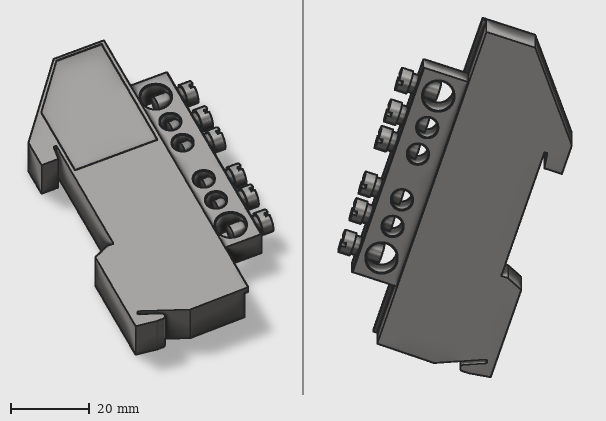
import cadquery as cq
import math

LENGTH = 87.0
THICKNESS = 12.0
TOP_Y = 31.15
TOP_LENGTH = 86.7
NOSE_Y = 17.05
NOSE_FOOT_X = 21.5
RAIL_Y = 6.0
RAIL_NEAR_X = 29.4
UNDERCUT_X = 25.4
UNDERCUT_INNER_Y = 5.2
UNDERCUT_OUTER_Y = 4.7
RAIL_FAR_X = 59.8
RAIL_FAR_CORNER_Y = 4.2
FAR_FOOT_X = 61.7
FAR_CORNER_Y = 14.8

LATCH_FOOT_X = 85.95
LATCH_SIDE_X = 86.7
LATCH_SIDE_Y = 5.6
LATCH_TOP_Y = 8.2
LATCH_TIP_RADIUS = 0.9
SLIT_END_X = 82.5
SLIT_END_Y = 2.7
SLIT_WIDTH = 1.05

LABEL_DEPTH = 0.3
LABEL_NEAR_X = 0.8
LABEL_FAR_X = 34.4
LABEL_LOW_Y = 7.05
LABEL_HIGH_Y = 30.1
LABEL_NEAR_Y = 17.5
LABEL_LOW_X = 14.1

BAR_LENGTH = 56.9
BAR_HEIGHT = 12.0
BAR_DEPTH = 8.0
BAR_NEAR_X = 14.5
BAR_CENTER_X = BAR_NEAR_X + BAR_LENGTH / 2
BAR_TOP_Y = 42.1
BAR_CHAMFER = 0.3
BAR_BOTTOM_Y = BAR_TOP_Y - BAR_HEIGHT
MID_Z = THICKNESS / 2
BAR_LOW_Z = MID_Z - BAR_DEPTH / 2
BAR_HIGH_Z = MID_Z + BAR_DEPTH / 2

LARGE_HOLE = 7.8
SMALL_HOLE = 5.2
HOLE_CHAMFER = 0.3
HOLE_Y = 36.1
HALF_ROW = [(6.35, SMALL_HOLE), (13.75, SMALL_HOLE), (22.5, LARGE_HOLE)]
WIRE_HOLES = [(BAR_CENTER_X + side * offset, diameter) for side in (-1, 1) for offset, diameter in HALF_ROW]

SCREW_TOP_Y = 46.7
HEAD_HEIGHT = 3.0
HEAD_DIAMETER = 6.0
SHANK_DIAMETER = 5.0
DRIVE_SLOT_WIDTH = 1.05
DRIVE_SLOT_DEPTH = 1.05


def cylinder_along_y(x, low_y, high_y, diameter):
    plane = cq.Plane(origin=(x, low_y, MID_Z), xDir=(1, 0, 0), normal=(0, 1, 0))
    return cq.Workplane(plane).circle(diameter / 2).extrude(high_y - low_y)


def housing_profile():
    slit_radius = SLIT_WIDTH / 2
    run_x = LENGTH - SLIT_END_X
    run_y = FAR_CORNER_Y - SLIT_END_Y
    lean = math.atan2(run_x, run_y) + math.asin(slit_radius / math.hypot(run_x, run_y))
    along_x, along_y = math.sin(lean), math.cos(lean)

    def slit_point(along, across):
        """Point measured from the slit end centre, up the slit and towards the latch."""
        return (
            SLIT_END_X + along * along_x + across * along_y,
            SLIT_END_Y + along * along_y - across * along_x,
        )

    tip_x = LATCH_SIDE_X - LATCH_TIP_RADIUS
    tip_y = LATCH_TOP_Y - LATCH_TIP_RADIUS
    tip_start = (tip_x - LATCH_TIP_RADIUS * along_y, tip_y + LATCH_TIP_RADIUS * along_x)
    tip_mid_angle = (math.pi - lean) / 2
    tip_middle = (
        tip_x + LATCH_TIP_RADIUS * math.cos(tip_mid_angle),
        tip_y + LATCH_TIP_RADIUS * math.sin(tip_mid_angle),
    )

    return (
        cq.Workplane("XY")
        .moveTo(0, NOSE_Y)
        .lineTo(0, TOP_Y)
        .lineTo(TOP_LENGTH, TOP_Y)
        .lineTo(LENGTH, FAR_CORNER_Y)
        .lineTo(*slit_point(0, -slit_radius))
        .threePointArc(slit_point(-slit_radius, 0), slit_point(0, slit_radius))
        .lineTo(*tip_start)
        .threePointArc(tip_middle, (LATCH_SIDE_X, tip_y))
        .lineTo(LATCH_SIDE_X, LATCH_SIDE_Y)
        .lineTo(LATCH_FOOT_X, 0)
        .lineTo(FAR_FOOT_X, 0)
        .lineTo(RAIL_FAR_X, RAIL_FAR_CORNER_Y)
        .lineTo(RAIL_FAR_X, RAIL_Y)
        .lineTo(UNDERCUT_X, RAIL_Y)
        .lineTo(UNDERCUT_X, UNDERCUT_INNER_Y)
        .lineTo(RAIL_NEAR_X, UNDERCUT_OUTER_Y)
        .lineTo(RAIL_NEAR_X, 0)
        .lineTo(NOSE_FOOT_X, 0)
        .close()
    )


def label_recess():
    return (
        cq.Workplane("XY", origin=(0, 0, THICKNESS - LABEL_DEPTH))
        .moveTo(LABEL_NEAR_X, LABEL_NEAR_Y)
        .lineTo(LABEL_NEAR_X, LABEL_HIGH_Y)
        .lineTo(LABEL_FAR_X, LABEL_HIGH_Y)
        .lineTo(LABEL_FAR_X, LABEL_LOW_Y)
        .lineTo(LABEL_LOW_X, LABEL_LOW_Y)
        .close()
        .extrude(LABEL_DEPTH)
    )


def make_housing():
    body = housing_profile().extrude(THICKNESS)
    ledge = cq.Workplane("XY").box(LENGTH, TOP_Y - BAR_BOTTOM_Y, BAR_HIGH_Z, centered=False)
    return body.cut(ledge.translate((0, BAR_BOTTOM_Y, 0))).cut(label_recess())


def make_bar():
    bar = (
        cq.Workplane("XY")
        .box(BAR_LENGTH, BAR_HEIGHT, BAR_DEPTH)
        .translate((BAR_CENTER_X, BAR_TOP_Y - BAR_HEIGHT / 2, MID_Z))
        .faces(">Y").edges("|X").chamfer(BAR_CHAMFER)
    )
    for x, diameter in WIRE_HOLES:
        wire_hole = cq.Workplane("XY", origin=(x, HOLE_Y, BAR_LOW_Z)).circle(diameter / 2).extrude(BAR_DEPTH)
        bar = bar.cut(wire_hole)
    bar = bar.faces("<Z or >Z").edges("%CIRCLE").chamfer(HOLE_CHAMFER)
    for x, _ in WIRE_HOLES:
        bar = bar.cut(cylinder_along_y(x, HOLE_Y, BAR_TOP_Y, SHANK_DIAMETER))
    return bar


def make_screw(x):
    head = cylinder_along_y(x, SCREW_TOP_Y - HEAD_HEIGHT, SCREW_TOP_Y, HEAD_DIAMETER)
    shank = cylinder_along_y(x, HOLE_Y, SCREW_TOP_Y - HEAD_HEIGHT, SHANK_DIAMETER)
    drive_slot = (
        cq.Workplane("XY")
        .box(DRIVE_SLOT_WIDTH, DRIVE_SLOT_DEPTH, HEAD_DIAMETER)
        .translate((x, SCREW_TOP_Y - DRIVE_SLOT_DEPTH / 2, MID_Z))
    )
    return head.union(shank).cut(drive_slot)


housing = make_housing()
bar = make_bar()
screws = [make_screw(x) for x, _ in WIRE_HOLES]

result = cq.Compound.makeCompound([housing.val(), bar.val(), *[screw.val() for screw in screws]])